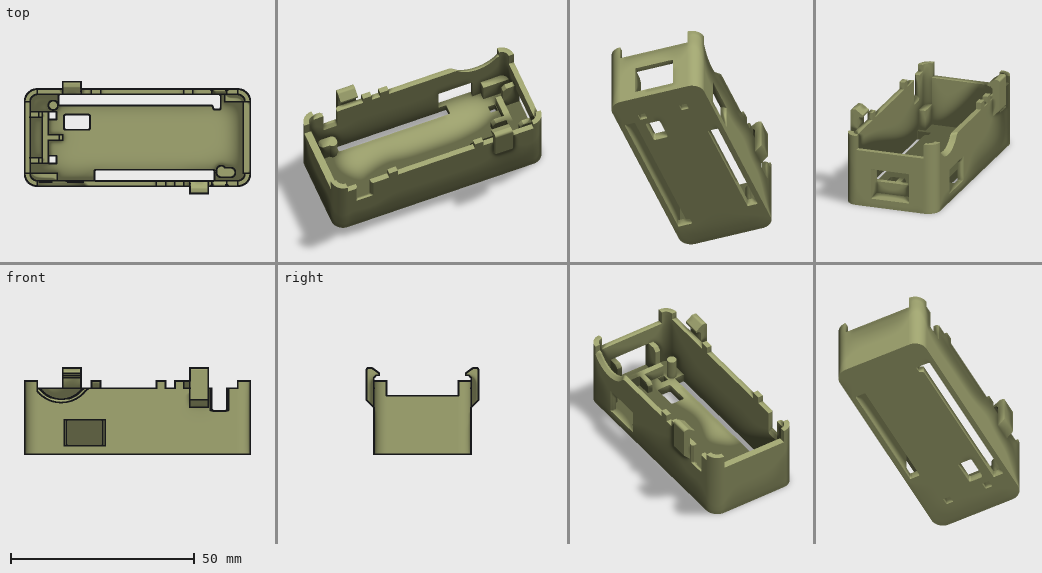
import cadquery as cq
import math

BODY_LENGTH = 61.5
BODY_WIDTH = 26.5
WALL = 1.5
END_WALL_INSET = 0.5
CORNER_RADIUS = 3.5
FLOOR = 2.4
PILLAR_TOP = 20.0
SIDE_WALL_TOP = 18.0
END_WALL_TOP = 16.0

HALF_LENGTH = BODY_LENGTH / 2
HALF_WIDTH = BODY_WIDTH / 2
INNER_HALF_LENGTH = HALF_LENGTH - WALL
INNER_HALF_WIDTH = HALF_WIDTH - WALL
SIDE_SPAN = HALF_LENGTH - CORNER_RADIUS
END_SPAN = HALF_WIDTH - CORNER_RADIUS

TAB_WIDTH = 2.5
FRONT_TAB_STARTS = (5.15, 10.15)
BACK_TAB_STARTS = (-12.55, 12.6)

LATCH_TOP = 23.55
LATCH_THICKNESS = 2.0
LATCH_WIDTH = 5.05
LATCH_BOTTOM = 12.8
LATCH_TIP_TOP = 22.1
LATCH_TIP_BOTTOM = 21.5
LATCH_THROAT_CHAMFER = 0.65
LATCH_TOP_RADIUS = 0.6
LATCH_LEAD_IN = 2.0
FRONT_LATCH_X = 16.75
BACK_LATCH_X = -17.85

NOTCH_X = 22.3
NOTCH_WIDTH = 4.05
NOTCH_BOTTOM = 11.85
NOTCH_INNER_BOTTOM = 10.85
NOTCH_RAMP = 0.9
NOTCH_CREST_RADIUS = 0.45
NOTCH_CORNER = 0.4
NOTCH_FLARE = 0.5

SCOOP_X = -20.75
SCOOP_INNER_RADIUS = 7.1
SCOOP_LAND_RADIUS = 7.25
SCOOP_OUTER_RADIUS = 8.45
SCOOP_INNER_CENTER_Z = 22.1
SCOOP_OUTER_CENTER_Z = 22.55
SCOOP_BLEND = 1.6
SCOOP_LAND = 0.45

SIDE_WINDOW_X = -14.4
SIDE_WINDOW_WIDTH = 10.0
SIDE_WINDOW_TOP = 9.45
SIDE_WINDOW_FLARE = 0.6
SIDE_WINDOW_CORNER = 0.4
PORT_WIDTH = 11.0
PORT_TOP = 10.95
PORT_CORNER = 0.25

CRADLE_RIB = 1.5
CRADLE_DEPTH = 3.35
CRADLE_BAR = 1.65
CRADLE_BAR_TOP = 5.75
BUTTRESS_LENGTH = 3.95
RIB_CHAMFER = 0.95

SUPPORT_TOP = 8.1
POST_DIAMETER = 2.6
FRONT_BLOCK_END = -21.8
BACK_BLOCK_START = 23.75
BACK_POST = (-22.95, 8.8)
FRONT_POST = (22.8, -8.95)
LONG_POST_Y = -9.5
LONG_POST_OFFSET = 2.55

FRONT_SLOT_X = (-11.7, 20.95)
BACK_SLOT_X = (-21.45, 22.6)
SLOT_INNER_Y = 8.8
SLOT_CORNER = 0.3
SLOT_JOG_DEPTH = 1.1
SLOT_JOG_WIDTH = 1.8
SLOT_JOG_TAPER = 0.5
FLOOR_WINDOW_X = (-20.0, -12.95)
FLOOR_WINDOW_Y = (2.15, 6.25)
FLOOR_WINDOW_CORNER = 0.5
SQUARE_HOLE = 2.05
SQUARE_HOLE_X = -24.1


def box(x0, x1, y0, y1, z0, z1):
    return cq.Workplane("XY").box(x1 - x0, y1 - y0, z1 - z0, centered=False).translate((x0, y0, z0))


def make_shell():
    outer = (
        cq.Workplane("XY")
        .box(BODY_LENGTH, BODY_WIDTH, PILLAR_TOP, centered=(True, True, False))
        .edges("|Z")
        .fillet(CORNER_RADIUS)
    )
    cavity = (
        cq.Workplane("XY", origin=(0, 0, FLOOR))
        .box(2 * INNER_HALF_LENGTH, 2 * INNER_HALF_WIDTH, PILLAR_TOP, centered=(True, True, False))
        .edges("|Z")
        .fillet(CORNER_RADIUS - WALL)
    )
    side_relief = box(-SIDE_SPAN, SIDE_SPAN, -HALF_WIDTH, HALF_WIDTH, SIDE_WALL_TOP, PILLAR_TOP)
    end_relief = box(-HALF_LENGTH, HALF_LENGTH, -END_SPAN, END_SPAN, END_WALL_TOP, PILLAR_TOP)
    end_liner = box(INNER_HALF_LENGTH - END_WALL_INSET, HALF_LENGTH, -END_SPAN, END_SPAN, 0, END_WALL_TOP)
    return outer.cut(cavity).cut(side_relief).cut(end_relief).union(end_liner)


def make_tabs():
    tabs = cq.Workplane("XY")
    for start in FRONT_TAB_STARTS:
        tabs = tabs.union(
            box(start, start + TAB_WIDTH, -HALF_WIDTH, -INNER_HALF_WIDTH, SIDE_WALL_TOP, PILLAR_TOP)
        )
    for start in BACK_TAB_STARTS:
        tabs = tabs.union(
            box(start, start + TAB_WIDTH, INNER_HALF_WIDTH, HALF_WIDTH, SIDE_WALL_TOP, PILLAR_TOP)
        )
    return tabs


def make_latch(center_x):
    """Latch on the +Y wall with its hook pointing inward."""
    back = HALF_WIDTH + LATCH_THICKNESS
    profile = [
        (HALF_WIDTH, LATCH_BOTTOM),
        (back, LATCH_BOTTOM + LATCH_THICKNESS),
        (back, LATCH_TOP),
        (INNER_HALF_WIDTH + LATCH_LEAD_IN, LATCH_TOP),
        (INNER_HALF_WIDTH, LATCH_TIP_TOP),
        (INNER_HALF_WIDTH, LATCH_TIP_BOTTOM),
        (HALF_WIDTH - LATCH_THROAT_CHAMFER, LATCH_TIP_BOTTOM),
        (HALF_WIDTH, LATCH_TIP_BOTTOM - LATCH_THROAT_CHAMFER),
    ]
    return (
        cq.Workplane("YZ", origin=(center_x, 0, 0))
        .polyline(profile)
        .close()
        .extrude(LATCH_WIDTH / 2, both=True)
        .faces(">Z")
        .edges("|X")
        .fillet(LATCH_TOP_RADIUS)
    )


def side_flare(half_width, flare, bottom, top):
    """Wedge that widens an opening in the +Y wall at 45 degrees toward its outer face."""
    inner_y = HALF_WIDTH - flare
    outer_half = half_width + flare
    return (
        cq.Workplane("XY", origin=(0, 0, bottom))
        .polyline(
            [
                (-half_width, inner_y),
                (half_width, inner_y),
                (outer_half, HALF_WIDTH),
                (-outer_half, HALF_WIDTH),
            ]
        )
        .close()
        .extrude(top - bottom)
    )


def make_cable_notch():
    """Cutter for the +Y wall: ramped sill, rounded lower corners, sides flared outward."""
    half = NOTCH_WIDTH / 2
    sill = [
        (INNER_HALF_WIDTH, NOTCH_INNER_BOTTOM),
        (INNER_HALF_WIDTH + NOTCH_RAMP, NOTCH_BOTTOM),
        (HALF_WIDTH, NOTCH_BOTTOM),
        (HALF_WIDTH, SIDE_WALL_TOP),
        (INNER_HALF_WIDTH, SIDE_WALL_TOP),
    ]
    opening = (
        cq.Workplane("YZ", origin=(NOTCH_X, 0, 0))
        .polyline(sill)
        .close()
        .extrude(half, both=True)
    )
    sill_crest = cq.selectors.NearestToPointSelector(
        (NOTCH_X, INNER_HALF_WIDTH + NOTCH_RAMP, NOTCH_BOTTOM)
    )
    opening = opening.edges(sill_crest).fillet(NOTCH_CREST_RADIUS)
    opening = opening.faces("<X or >X").edges("(not |Z) and (not >Z)").fillet(NOTCH_CORNER)
    flare = (
        side_flare(half, NOTCH_FLARE, NOTCH_BOTTOM, SIDE_WALL_TOP)
        .faces("<Z")
        .edges("not |X")
        .fillet(NOTCH_CORNER)
        .translate((NOTCH_X, 0, 0))
    )
    return opening.union(flare)


def scoop_outline(y, radius, center_z):
    """Dip below the wall top: one concave arc with a convex blend on each shoulder."""
    blend_rise = center_z - SIDE_WALL_TOP + SCOOP_BLEND
    top_half = math.sqrt((radius + SCOOP_BLEND) ** 2 - blend_rise**2)
    dip_fraction = radius / (radius + SCOOP_BLEND)
    break_half = top_half * dip_fraction
    break_z = center_z - blend_rise * dip_fraction
    half_blend_angle = math.atan2(top_half, blend_rise) / 2
    blend_mid_x = top_half - SCOOP_BLEND * math.sin(half_blend_angle)
    blend_mid_z = SIDE_WALL_TOP - SCOOP_BLEND * (1 - math.cos(half_blend_angle))
    outline = (
        cq.Workplane("XZ", origin=(SCOOP_X, y, 0))
        .moveTo(-top_half, SIDE_WALL_TOP)
        .threePointArc((-blend_mid_x, blend_mid_z), (-break_half, break_z))
        .threePointArc((0, center_z - radius), (break_half, break_z))
        .threePointArc((blend_mid_x, blend_mid_z), (top_half, SIDE_WALL_TOP))
        .close()
    )
    return outline.val()


def make_finger_scoop():
    land_y = -INNER_HALF_WIDTH - SCOOP_LAND
    inner_edge = scoop_outline(-INNER_HALF_WIDTH, SCOOP_INNER_RADIUS, SCOOP_INNER_CENTER_Z)
    land_edge = scoop_outline(land_y, SCOOP_LAND_RADIUS, SCOOP_INNER_CENTER_Z)
    outer_edge = scoop_outline(-HALF_WIDTH, SCOOP_OUTER_RADIUS, SCOOP_OUTER_CENTER_Z)
    land = cq.Workplane(cq.Solid.makeLoft([inner_edge, land_edge], True))
    flare = cq.Workplane(cq.Solid.makeLoft([land_edge, outer_edge], True))
    between_pillars = box(-SIDE_SPAN, SIDE_SPAN, -HALF_WIDTH, HALF_WIDTH, 0, PILLAR_TOP)
    return land.union(flare).intersect(between_pillars)


def make_side_window():
    half = SIDE_WINDOW_WIDTH / 2
    opening = (
        box(-half, half, -HALF_WIDTH, -INNER_HALF_WIDTH, FLOOR, SIDE_WINDOW_TOP)
        .edges("|Y")
        .fillet(SIDE_WINDOW_CORNER)
    )
    flare = side_flare(half, SIDE_WINDOW_FLARE, FLOOR, SIDE_WINDOW_TOP).mirror("XZ")
    return opening.union(flare).translate((SIDE_WINDOW_X, 0, 0))


def make_port():
    return (
        box(-HALF_LENGTH, -INNER_HALF_LENGTH, -PORT_WIDTH / 2, PORT_WIDTH / 2, FLOOR, PORT_TOP)
        .edges("|X and >Z")
        .fillet(PORT_CORNER)
    )


def make_cradle():
    start = -INNER_HALF_LENGTH
    bar_start = start + CRADLE_DEPTH
    bar_end = bar_start + CRADLE_BAR
    half_inner = PORT_WIDTH / 2
    half_outer = half_inner + CRADLE_RIB
    cradle = box(bar_start, bar_end, -half_outer, half_outer, FLOOR, CRADLE_BAR_TOP)
    for y in (-half_outer, half_inner):
        rib = box(start, bar_start, y, y + CRADLE_RIB, FLOOR, PORT_TOP)
        cradle = cradle.union(rib.edges(">X and >Z").chamfer(RIB_CHAMFER))
    buttress = (
        box(bar_end, bar_end + BUTTRESS_LENGTH, -CRADLE_RIB / 2, CRADLE_RIB / 2, FLOOR, CRADLE_BAR_TOP)
        .edges(">X and >Z")
        .chamfer(RIB_CHAMFER)
    )
    return cradle.union(buttress)


def make_post(x, y):
    return cq.Workplane("XY", origin=(x, y, FLOOR)).circle(POST_DIAMETER / 2).extrude(SUPPORT_TOP - FLOOR)


def make_supports():
    front_block = box(-INNER_HALF_LENGTH, FRONT_BLOCK_END, -INNER_HALF_WIDTH, -END_SPAN, FLOOR, SUPPORT_TOP)
    back_block = box(BACK_BLOCK_START, INNER_HALF_LENGTH, END_SPAN, INNER_HALF_WIDTH, FLOOR, SUPPORT_TOP)
    long_post = (
        cq.Workplane("XY", origin=(FRONT_POST[0] + LONG_POST_OFFSET / 2, LONG_POST_Y, FLOOR))
        .slot2D(LONG_POST_OFFSET + POST_DIAMETER, POST_DIAMETER)
        .extrude(SUPPORT_TOP - FLOOR)
    )
    supports = front_block.union(back_block).union(long_post)
    return supports.union(make_post(*FRONT_POST)).union(make_post(*BACK_POST))


def floor_opening(x0, x1, y0, y1, corner):
    return box(x0, x1, y0, y1, 0, FLOOR).edges("|Z").fillet(corner)


def make_floor_openings():
    openings = floor_opening(*FRONT_SLOT_X, -INNER_HALF_WIDTH, -SLOT_INNER_Y, SLOT_CORNER)
    back_slot = (
        cq.Workplane("XY")
        .moveTo(BACK_SLOT_X[0], INNER_HALF_WIDTH)
        .lineTo(BACK_SLOT_X[1], INNER_HALF_WIDTH)
        .lineTo(BACK_SLOT_X[1], SLOT_INNER_Y - SLOT_JOG_DEPTH)
        .lineTo(BACK_SLOT_X[1] - SLOT_JOG_WIDTH, SLOT_INNER_Y - SLOT_JOG_DEPTH)
        .lineTo(BACK_SLOT_X[1] - SLOT_JOG_WIDTH - SLOT_JOG_TAPER, SLOT_INNER_Y)
        .lineTo(BACK_SLOT_X[0], SLOT_INNER_Y)
        .close()
        .extrude(FLOOR)
        .edges("|Z")
        .fillet(SLOT_CORNER)
    )
    openings = openings.union(back_slot)
    openings = openings.union(floor_opening(*FLOOR_WINDOW_X, *FLOOR_WINDOW_Y, FLOOR_WINDOW_CORNER))
    cradle_edge = PORT_WIDTH / 2 + CRADLE_RIB
    for y in (-cradle_edge, cradle_edge - SQUARE_HOLE):
        openings = openings.union(
            box(SQUARE_HOLE_X, SQUARE_HOLE_X + SQUARE_HOLE, y, y + SQUARE_HOLE, 0, FLOOR)
        )
    return openings


result = make_shell().union(make_tabs())
result = result.union(make_latch(BACK_LATCH_X)).union(make_latch(FRONT_LATCH_X).mirror("XZ"))
notch = make_cable_notch()
result = result.cut(notch).cut(notch.mirror("XZ")).cut(make_finger_scoop())
result = result.cut(make_side_window()).cut(make_port()).cut(make_floor_openings())
result = result.union(make_cradle()).union(make_supports())